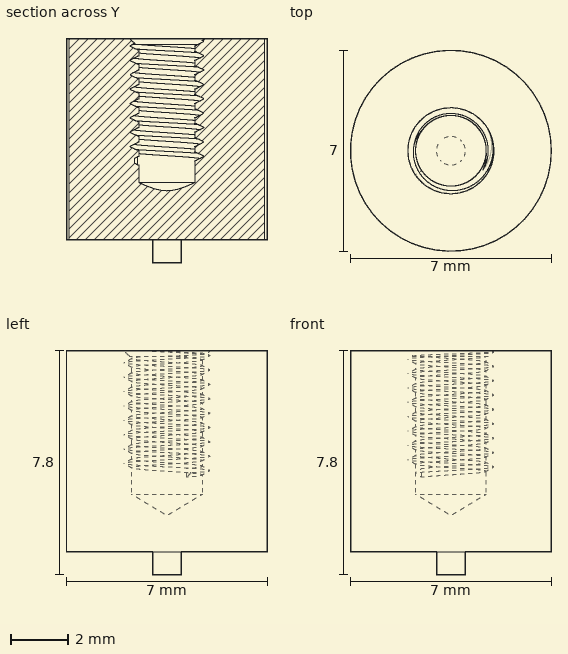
import cadquery as cq
import math

body_diameter = 7.0
body_height = 7.0
pin_diameter = 1.0
pin_length = 0.8

minor_diameter = 2.46
major_diameter = 3.0
pitch = 0.5
hole_depth = 5.0
tip_angle = 118.0
chamfer_depth = 0.2

flank_angle = 60.0
groove_width = 0.3
thread_turns = 8.5
thread_start_angle = -146.0
bore_overlap = 0.05

minor_radius = minor_diameter / 2
major_radius = major_diameter / 2


def make_body():
    """Cylinder standing on z = 0 with a small pin below it."""
    body = cq.Workplane("XY").circle(body_diameter / 2).extrude(body_height)
    pin = cq.Workplane("XY").circle(pin_diameter / 2).extrude(-pin_length)
    return body.union(pin)


def make_bore():
    """Minor-diameter bore with a drill-point bottom and a chamfered mouth ending on a narrow shelf."""
    floor_z = body_height - hole_depth
    tip_z = floor_z - minor_radius / math.tan(math.radians(tip_angle / 2))
    shelf_z = body_height - chamfer_depth
    return (
        cq.Workplane("XZ")
        .moveTo(0, tip_z)
        .lineTo(minor_radius, floor_z)
        .lineTo(minor_radius, shelf_z)
        .lineTo(major_radius - chamfer_depth, shelf_z)
        .lineTo(major_radius, body_height)
        .lineTo(0, body_height)
        .close()
        .revolve(360, (0, 0, 0), (0, 1, 0))
    )


def make_thread_groove():
    """Right-hand helical V groove that runs out through the top face."""
    thread_length = thread_turns * pitch
    half_width = groove_width / 2
    flank_slope = math.tan(math.radians(flank_angle / 2))
    groove_depth = half_width / flank_slope
    inner_radius = minor_radius - bore_overlap
    inner_half_width = half_width + bore_overlap * flank_slope
    helix = cq.Workplane(obj=cq.Wire.makeHelix(pitch, thread_length, minor_radius))
    groove = (
        cq.Workplane("XZ")
        .moveTo(inner_radius, -inner_half_width)
        .lineTo(minor_radius + groove_depth, 0)
        .lineTo(inner_radius, inner_half_width)
        .close()
        .sweep(helix, isFrenet=True)
    )
    return groove.translate((0, 0, body_height - thread_length))


def make_tapped_hole():
    """Bore and thread groove together, turned to the angle where the thread starts."""
    return make_bore().union(make_thread_groove()).rotate((0, 0, 0), (0, 0, 1), thread_start_angle)


result = make_body().cut(make_tapped_hole())